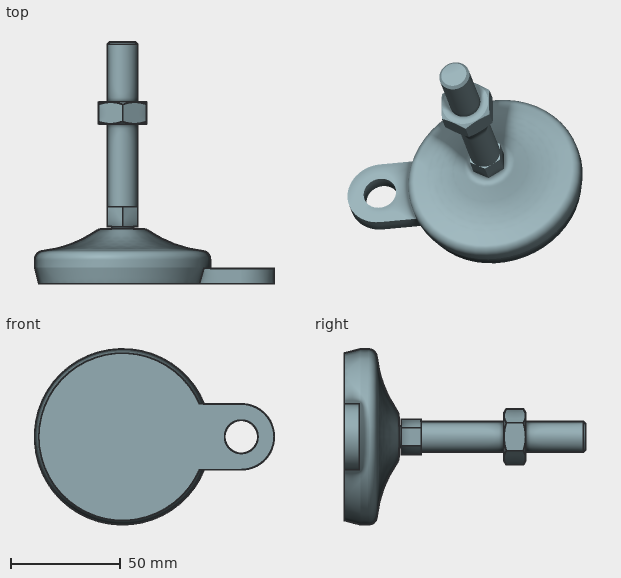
import cadquery as cq
import math


foot_radius = 40.0
skirt_height = 7.5
skirt_angle = math.radians(14.5)
shoulder_height = 11.0
shoulder_radius = 4.0
dome_radius = 55.0
crown_radius = 5.0
crown_flat_radius = 9.0
foot_height = 25.0

lug_thickness = 7.0
lug_center_x = 54.0
lug_radius = 15.0
lug_hole_diameter = 15.0

stud_diameter = 14.0
stud_end = 110.0
stud_chamfer = 1.2
neck_diameter = 10.0
wrench_flats = 14.0
wrench_start = 26.0
wrench_end = 35.0

nut_flats = 22.0
nut_start = 72.6
nut_height = 10.1
nut_face_diameter = 21.4
nut_chamfer_angle = math.radians(30)


def polar(center, radius, angle):
    """Point at the given radius and angle around a center."""
    return (center[0] + radius * math.cos(angle), center[1] + radius * math.sin(angle))


def hexagon_corner_radius(flats):
    """Distance from the center to a corner of a hexagon with the given width across flats."""
    return flats / 2 / math.cos(math.pi / 6)


def cylinder(diameter, start, end):
    """Cylinder on the Y axis between two heights."""
    return cq.Workplane("XZ", origin=(0, start, 0)).circle(diameter / 2).extrude(start - end)


def hexagon(flats, start, end):
    """Hexagonal prism on the Y axis with two flats facing +X and -X."""
    profile = cq.Workplane("XZ", origin=(0, start, 0)).transformed(rotate=(0, 0, 30))
    return profile.polygon(6, 2 * hexagon_corner_radius(flats)).extrude(start - end)


def make_foot():
    """Revolved foot: drafted skirt, rounded shoulder, concave dome and rounded crown."""
    shoulder_center = (foot_radius - shoulder_radius, shoulder_height)
    crown_center = (crown_flat_radius, foot_height - crown_radius)

    span_x = crown_center[0] - shoulder_center[0]
    span_y = crown_center[1] - shoulder_center[1]
    span = math.hypot(span_x, span_y)
    shoulder_reach = dome_radius + shoulder_radius
    crown_reach = dome_radius + crown_radius
    cos_offset = (span**2 + shoulder_reach**2 - crown_reach**2) / (2 * span * shoulder_reach)
    shoulder_angle = math.atan2(span_y, span_x) - math.acos(cos_offset)
    dome_center = polar(shoulder_center, shoulder_reach, shoulder_angle)
    crown_angle = math.atan2(dome_center[1] - crown_center[1], dome_center[0] - crown_center[0])

    shoulder_middle = polar(shoulder_center, shoulder_radius, shoulder_angle / 2)
    dome_start = polar(shoulder_center, shoulder_radius, shoulder_angle)
    dome_middle = polar(dome_center, dome_radius, (shoulder_angle + crown_angle) / 2 + math.pi)
    dome_end = polar(crown_center, crown_radius, crown_angle)
    crown_middle = polar(crown_center, crown_radius, (crown_angle + math.pi / 2) / 2)

    base_radius = foot_radius - skirt_height * math.tan(skirt_angle)
    profile = (
        cq.Workplane("XY")
        .lineTo(base_radius, 0)
        .lineTo(foot_radius, skirt_height)
        .lineTo(foot_radius, shoulder_height)
        .threePointArc(shoulder_middle, dome_start)
        .threePointArc(dome_middle, dome_end)
        .threePointArc(crown_middle, (crown_flat_radius, foot_height))
        .lineTo(0, foot_height)
        .close()
    )
    return profile.revolve(360, (0, 0, 0), (0, 1, 0))


def make_lug():
    """Flat lug with a rounded end and a through hole, flush with the underside."""
    outline = (
        cq.Workplane("XZ")
        .moveTo(0, -lug_radius)
        .lineTo(lug_center_x, -lug_radius)
        .threePointArc((lug_center_x + lug_radius, 0), (lug_center_x, lug_radius))
        .lineTo(0, lug_radius)
        .close()
        .extrude(-lug_thickness)
    )
    hole = cylinder(lug_hole_diameter, 0, lug_thickness).translate((lug_center_x, 0, 0))
    return outline.cut(hole)


def make_stud():
    """Stud with a neck, wrench hexagon and chamfered free end."""
    neck = cylinder(neck_diameter, foot_height, wrench_start)
    wrench = hexagon(wrench_flats, wrench_start, wrench_end)
    shank = cylinder(stud_diameter, wrench_end, stud_end).faces(">Y").chamfer(stud_chamfer)
    return neck.union(wrench).union(shank)


def make_nut():
    """Hexagon nut whose corners are trimmed by a cone at both faces."""
    nut_end = nut_start + nut_height
    face_radius = nut_face_diameter / 2
    corner_radius = hexagon_corner_radius(nut_flats)
    trim_depth = (corner_radius - face_radius) * math.tan(nut_chamfer_angle)
    envelope = (
        cq.Workplane("XY")
        .moveTo(0, nut_start)
        .lineTo(face_radius, nut_start)
        .lineTo(corner_radius, nut_start + trim_depth)
        .lineTo(corner_radius, nut_end - trim_depth)
        .lineTo(face_radius, nut_end)
        .lineTo(0, nut_end)
        .close()
        .revolve(360, (0, 0, 0), (0, 1, 0))
    )
    return hexagon(nut_flats, nut_start, nut_end).intersect(envelope)


result = make_foot().union(make_lug()).union(make_stud()).union(make_nut())